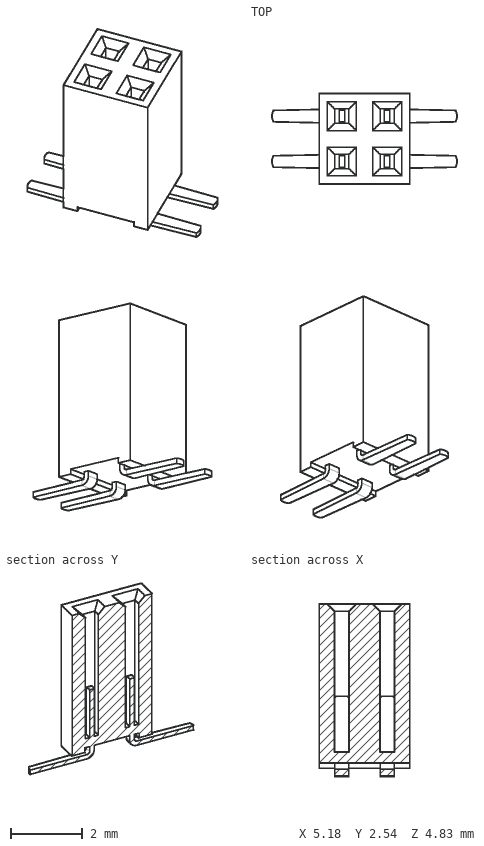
import cadquery as cq
import math

total_length = 5.18
total_height = 4.83
body_side = 2.54
standoff = 0.23
notch_width = 1.7
notch_depth = 0.15
notch_top = standoff + notch_depth

pitch = 1.27
mouth_side = 0.81
hole_side = 0.4
funnel_depth = (mouth_side - hole_side) / 2
floor_thickness = 0.31
hole_floor = notch_top + floor_thickness

strip_thickness = 0.155
strip_width = 0.4
tip_width = 0.325
bend_inner_radius = 0.08
foot_tip_bulge = 0.04
blade_height = 1.555
blade_chamfer = 0.035
bend_outer_radius = bend_inner_radius + strip_thickness
blade_top = hole_floor + blade_height
inner_face_x = (pitch - strip_thickness) / 2
outer_face_x = inner_face_x + strip_thickness
bend_end_x = inner_face_x + bend_outer_radius
tip_x = total_length / 2

grid_offsets = (-pitch / 2, pitch / 2)
socket_centers = [(x, y) for x in grid_offsets for y in grid_offsets]


def make_housing():
    """Square block with a notch running through its underside along Y."""
    block = (
        cq.Workplane("XY", origin=(0, 0, standoff))
        .rect(body_side, body_side)
        .extrude(total_height - standoff)
    )
    notch = (
        cq.Workplane("XY", origin=(0, 0, standoff))
        .rect(notch_width, body_side)
        .extrude(notch_depth)
    )
    return block.cut(notch)


def make_socket(x, y):
    """Funnel mouth with 45 degree walls, leading into a blind square hole."""
    funnel = (
        cq.Workplane("XY", origin=(x, y, total_height))
        .rect(mouth_side, mouth_side)
        .workplane(offset=-funnel_depth)
        .rect(hole_side, hole_side)
        .loft(ruled=True)
    )
    hole = (
        cq.Workplane("XY", origin=(x, y, hole_floor))
        .rect(hole_side, hole_side)
        .extrude(total_height - funnel_depth - hole_floor)
    )
    return funnel.union(hole)


def make_foot():
    """Flat foot reaching out along +X, tapered and ending in a rounded tip."""
    corner_x = tip_x - foot_tip_bulge
    return (
        cq.Workplane("XY")
        .moveTo(bend_end_x, -strip_width / 2)
        .lineTo(corner_x, -tip_width / 2)
        .threePointArc((tip_x, 0), (corner_x, tip_width / 2))
        .lineTo(bend_end_x, strip_width / 2)
        .close()
        .extrude(strip_thickness)
    )


def make_bend():
    """Quarter bend and the upright stem that runs through the housing floor."""
    center_z = bend_outer_radius
    outer_reach = bend_outer_radius * math.sqrt(0.5)
    inner_reach = bend_inner_radius * math.sqrt(0.5)
    outer_mid = (bend_end_x - outer_reach, center_z - outer_reach)
    inner_mid = (bend_end_x - inner_reach, center_z - inner_reach)
    return (
        cq.Workplane("XZ")
        .moveTo(bend_end_x, 0)
        .threePointArc(outer_mid, (inner_face_x, center_z))
        .lineTo(inner_face_x, hole_floor)
        .lineTo(outer_face_x, hole_floor)
        .lineTo(outer_face_x, center_z)
        .threePointArc(inner_mid, (bend_end_x, strip_thickness))
        .close()
        .extrude(strip_width / 2, both=True)
    )


def make_blade():
    """Contact blade standing in the hole, chamfered along its two end edges at the top."""
    shoulder_z = blade_top - blade_chamfer
    crest_width = strip_width - 2 * blade_chamfer
    return (
        cq.Workplane("YZ", origin=(inner_face_x, 0, 0))
        .moveTo(-strip_width / 2, hole_floor)
        .lineTo(-strip_width / 2, shoulder_z)
        .lineTo(-crest_width / 2, blade_top)
        .lineTo(crest_width / 2, blade_top)
        .lineTo(strip_width / 2, shoulder_z)
        .lineTo(strip_width / 2, hole_floor)
        .close()
        .extrude(strip_thickness)
    )


housing = make_housing()
for x, y in socket_centers:
    housing = housing.cut(make_socket(x, y))

right_terminal = make_foot().union(make_bend()).union(make_blade())
left_terminal = right_terminal.mirror("YZ")

result = housing
for y in grid_offsets:
    for terminal in (right_terminal, left_terminal):
        result = result.union(terminal.translate((0, y, 0)))